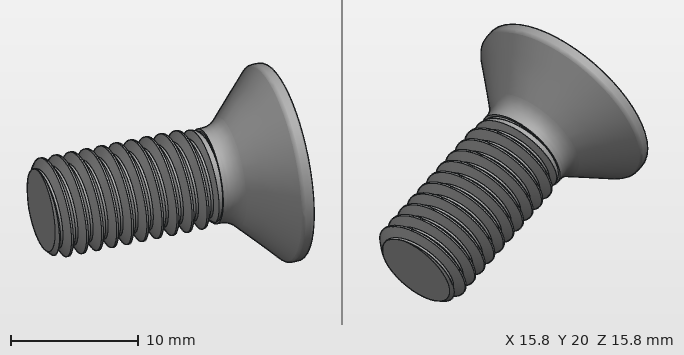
import cadquery as cq
import math

length = 20.0
head_radius = 7.9
rim_depth = 0.95
rim_face_radius = 0.32
rim_cone_radius = 0.4
neck_radius = 3.8
neck_end = 6.2
neck_fillet = 2.0

thread_radius = 4.0
pitch = 1.25
thread_depth = 0.6134 * pitch
root_radius = thread_radius - thread_depth
crest_flat = pitch / 8
flank_slope = math.tan(math.radians(30))
root_overlap = 0.12
first_crest = 7.55
lead_in_radius = 3.65
lead_in_length = 1.3
ledge_radius = 3.6
ledge_length = 0.25
tip_radius = 3.35
envelope_clearance = 0.2

cone_end_radius = neck_radius + neck_fillet * (1 - math.cos(math.pi / 4))
cone_end = rim_depth + head_radius - cone_end_radius
fillet_end = cone_end + neck_fillet * math.sin(math.pi / 4)
fillet_mid_radius = neck_radius + neck_fillet * (1 - math.cos(math.pi / 8))
fillet_mid = fillet_end - neck_fillet * math.sin(math.pi / 8)


def make_head():
    """Head, fillet and plain neck as one revolved outline."""
    outline = (
        cq.Workplane("XY")
        .moveTo(0, 0)
        .lineTo(head_radius, 0)
        .lineTo(head_radius, -rim_depth)
        .lineTo(cone_end_radius, -cone_end)
        .threePointArc((fillet_mid_radius, -fillet_mid), (neck_radius, -fillet_end))
        .lineTo(neck_radius, -neck_end)
        .lineTo(0, -neck_end)
        .close()
    )
    head = outline.revolve(360, (0, 0, 0), (0, 1, 0))
    head = head.faces(">Y").edges().fillet(rim_face_radius)
    rim_corner = cq.selectors.NearestToPointSelector((0, -rim_depth, head_radius))
    return head.edges("%CIRCLE").edges(rim_corner).fillet(rim_cone_radius)


def make_envelope():
    """Limit of the thread: tapered lead-in and 45 degree tip chamfer, clear of the full crests."""
    lead_in_slope = (thread_radius - lead_in_radius) / lead_in_length
    outer_radius = thread_radius + envelope_clearance
    points = [
        (0, -neck_end),
        (lead_in_radius, -neck_end),
        (outer_radius, -neck_end - (outer_radius - lead_in_radius) / lead_in_slope),
        (outer_radius, -length + outer_radius - tip_radius),
        (tip_radius, -length),
        (0, -length),
    ]
    return cq.Workplane("XY").polyline(points).close().revolve(360, (0, 0, 0), (0, 1, 0))


def make_ridge():
    """Helical ridge along +Z, its first crest at Z = 0 on the +X side."""
    turns = math.ceil((length - first_crest) / pitch) + 3
    base_radius = root_radius - root_overlap
    half_crest = crest_flat / 2
    half_base = half_crest + (thread_radius - base_radius) * flank_slope
    profile = [
        (base_radius, -half_base),
        (thread_radius, -half_crest),
        (thread_radius, half_crest),
        (base_radius, half_base),
    ]
    helix = cq.Wire.makeHelix(pitch, turns * pitch, base_radius)
    return cq.Workplane("XZ").polyline(profile).close().sweep(cq.Workplane(helix), isFrenet=True)


def make_shank():
    """Threaded shank from the neck to the tip."""
    start = first_crest - 2 * pitch
    ridge = make_ridge().rotate((0, 0, 0), (1, 0, 0), 90).translate((0, -start, 0))
    core = (
        cq.Workplane("XZ", origin=(0, -neck_end, 0))
        .circle(root_radius)
        .extrude(length - neck_end)
    )
    ledge = cq.Workplane("XZ", origin=(0, -neck_end, 0)).circle(ledge_radius).extrude(ledge_length)
    return core.union(ledge).union(ridge.intersect(make_envelope()))


result = make_head().union(make_shank())